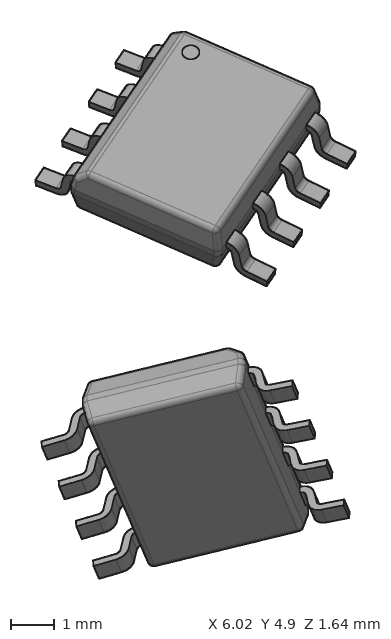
import cadquery as cq
import math

SPAN_X = 6.02
HOUSING_X = 3.9
HOUSING_Y = 4.9
TOP_Z = 1.64

BAND_HEIGHT = 0.2
HALF_HEIGHT = 0.63
DRAFT_ANGLE = 10.0
EDGE_RADIUS = 0.145
BEVEL_REACH = 0.385

BAND_TOP_Z = TOP_Z - HALF_HEIGHT
BAND_BOTTOM_Z = BAND_TOP_Z - BAND_HEIGHT

MARKER_DIAMETER = 0.4
MARKER_DEPTH = 0.03
MARKER_X = -1.125
MARKER_Y = 1.835

LEADS_PER_SIDE = 4
LEAD_PITCH = 1.27
LEAD_WIDTH = 0.41
LEAD_THICKNESS = BAND_HEIGHT
INNER_BEND = 0.14
OUTER_BEND = INNER_BEND + LEAD_THICKNESS
LEG_ANGLE = 10.0
FOOT_ANGLE = 4.0

TOLERANCE = 6.02e-06


def make_tapered_half(start_z, direction):
    """One half of the housing, narrowing away from the band (direction +1 is up)."""
    inset = HALF_HEIGHT * math.tan(math.radians(DRAFT_ANGLE))
    return (
        cq.Workplane("XY", origin=(0, 0, start_z))
        .rect(HOUSING_X, HOUSING_Y)
        .workplane(offset=direction * HALF_HEIGHT)
        .rect(HOUSING_X - 2 * inset, HOUSING_Y - 2 * inset)
        .loft(ruled=True)
    )


def make_bevel_cutter():
    """45 degree wedge that removes the top edge on the -X side."""
    side_x = -HOUSING_X / 2
    return (
        cq.Workplane("XZ")
        .moveTo(side_x, TOP_Z)
        .lineTo(side_x + BEVEL_REACH, TOP_Z)
        .lineTo(side_x, TOP_Z - BEVEL_REACH)
        .close()
        .extrude(HOUSING_Y / 2, both=True)
    )


def make_marker():
    """Disc that fills its recess up to the top face."""
    return (
        cq.Workplane("XY", origin=(MARKER_X, MARKER_Y, TOP_Z - MARKER_DEPTH))
        .circle(MARKER_DIAMETER / 2)
        .extrude(MARKER_DEPTH)
    )


def is_parting_edge(edge):
    """True for the level edges where the band meets a tapered half; these stay sharp."""
    box = edge.BoundingBox()
    is_level = box.zlen < TOLERANCE
    on_band = min(abs(box.zmax - BAND_TOP_Z), abs(box.zmax - BAND_BOTTOM_Z)) < TOLERANCE
    return is_level and on_band


def make_housing():
    """Banded block with a bevel, rounded edges and a recess for the marker."""
    band_base = cq.Workplane("XY", origin=(0, 0, BAND_BOTTOM_Z))
    band = band_base.rect(HOUSING_X, HOUSING_Y).extrude(BAND_HEIGHT)
    upper = make_tapered_half(BAND_TOP_Z, 1).cut(make_bevel_cutter())
    lower = make_tapered_half(BAND_BOTTOM_Z, -1)
    block = band.union(upper).union(lower)

    rounded_edges = block.edges().filter(lambda edge: not is_parting_edge(edge))
    return rounded_edges.fillet(EDGE_RADIUS).cut(make_marker())


def polar(center, radius, angle):
    """Point at a distance and an angle in degrees (0 is +X, 90 is +Z) from a center."""
    turn = math.radians(angle)
    return (center[0] + radius * math.cos(turn), center[1] + radius * math.sin(turn))


def make_lead(y):
    """Lead on the +X side: bend out of the band, leaning leg, reverse bend, foot."""
    leg_normal = LEG_ANGLE
    foot_normal = 90 - FOOT_ANGLE

    tip_top = (SPAN_X / 2, LEAD_THICKNESS * math.sin(math.radians(foot_normal)))
    tip_bottom = polar(tip_top, -LEAD_THICKNESS, foot_normal)
    upper_center = (HOUSING_X / 2, BAND_TOP_Z - OUTER_BEND)

    above_tip = polar(tip_top, INNER_BEND, foot_normal)
    beside_leg = polar(upper_center, OUTER_BEND + INNER_BEND, leg_normal)
    lean = math.radians(LEG_ANGLE)
    fall = math.radians(FOOT_ANGLE)
    gap_x = above_tip[0] - beside_leg[0]
    gap_z = beside_leg[1] - above_tip[1]
    leg_length = (gap_z * math.cos(fall) - gap_x * math.sin(fall)) / math.cos(lean + fall)
    lower_center = polar(beside_leg, leg_length, leg_normal - 90)

    foot_side = foot_normal + 180
    leg_side = leg_normal + 180
    upper_middle = (90 + leg_normal) / 2
    lower_middle = (foot_side + leg_side) / 2

    return (
        cq.Workplane("XZ", origin=(0, y + LEAD_WIDTH / 2, 0))
        .moveTo(*polar(upper_center, OUTER_BEND, 90))
        .threePointArc(
            polar(upper_center, OUTER_BEND, upper_middle),
            polar(upper_center, OUTER_BEND, leg_normal),
        )
        .lineTo(*polar(lower_center, INNER_BEND, leg_side))
        .threePointArc(
            polar(lower_center, INNER_BEND, lower_middle),
            polar(lower_center, INNER_BEND, foot_side),
        )
        .lineTo(*tip_top)
        .lineTo(*tip_bottom)
        .lineTo(*polar(lower_center, OUTER_BEND, foot_side))
        .threePointArc(
            polar(lower_center, OUTER_BEND, lower_middle),
            polar(lower_center, OUTER_BEND, leg_side),
        )
        .lineTo(*polar(upper_center, INNER_BEND, leg_normal))
        .threePointArc(
            polar(upper_center, INNER_BEND, upper_middle),
            polar(upper_center, INNER_BEND, 90),
        )
        .close()
        .extrude(LEAD_WIDTH)
    )


def make_lead_rows():
    """Leads along both long sides; the -X row mirrors the +X row."""
    leads = []
    for index in range(LEADS_PER_SIDE):
        y = (index - (LEADS_PER_SIDE - 1) / 2) * LEAD_PITCH
        lead = make_lead(y)
        leads.append(lead.val())
        leads.append(lead.mirror("YZ").val())
    return leads


housing = make_housing()
marker = make_marker()
leads = make_lead_rows()

result = cq.Compound.makeCompound([housing.val(), marker.val(), *leads])